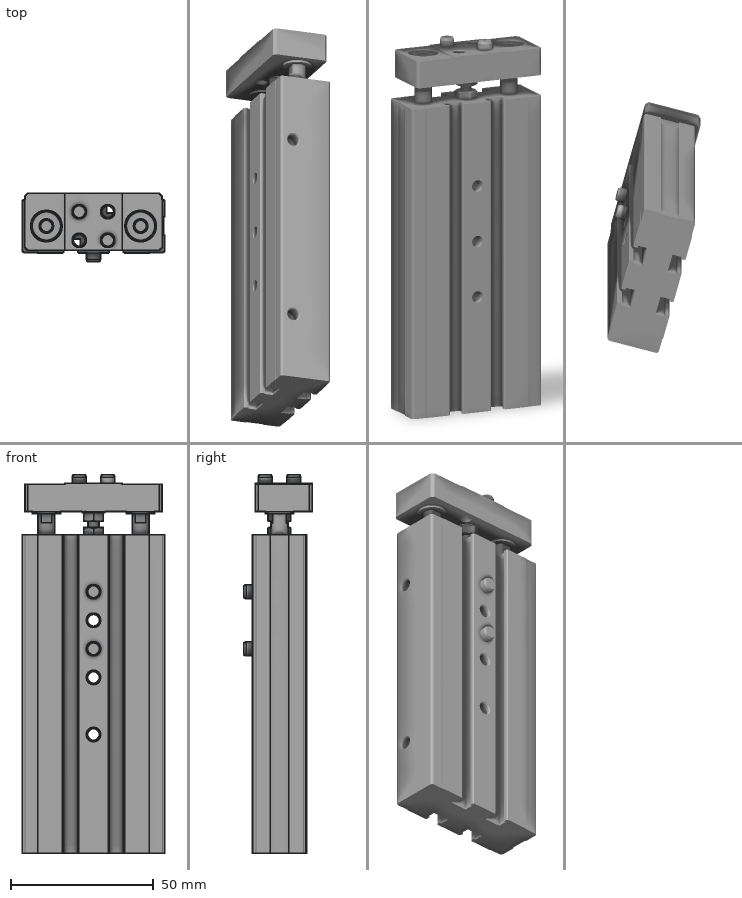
import cadquery as cq
import math


housing_width = 50.0
housing_depth = 19.0
housing_height = 111.6
plate_gap = 8.0
plate_width = 48.0
plate_depth = 20.0
plate_height = 10.0
plate_overhang = 2.0

housing_corner_radius = 1.0
relief_start = 19.5
relief_depth = 0.2
groove_width = 6.6
groove_depth = 0.4
slot_offset = 8.0
slot_mouth_width = 5.0
slot_inner_width = 6.6
slot_depth = 4.9
slot_lip = 1.6
slot_edge_chamfer = 0.4

tap_diameter = 4.13
tap_mouth_diameter = 5.0
tap_chamfer = (tap_mouth_diameter - tap_diameter) / 2
port_inset = 23.3
port_y = 4.6
port_depth = 5.0
drill_point_angle = 118.0
port_tip_length = tap_diameter / 2 / math.tan(math.radians(drill_point_angle / 2))
hole_levels_below_top = (30.0, 50.0, 70.0)
pin_levels_below_top = (20.0, 40.0)

pin_diameter = 5.0
pin_projection = 3.0
pin_seat_depth = 5.0
pin_tip_radial = 0.4
pin_tip_length = 0.85

plate_chamfer = 1.0
pad_width = 20.0
pad_rise = 0.3
plate_hole_pitch = 10.0

rod_offset = 16.5
rod_diameter = 6.03
rod_end_wall = 10.0
collar_diameter = 10.0
collar_projection = 0.7
collar_recess_diameter = 11.0
collar_recess = (collar_recess_diameter - collar_diameter) / 2
rod_end_recess = 0.2
wrench_flat_width = 4.8
wrench_flat_length = 3.2

hex_across_flats = 7.0
hex_chamfer_height = 0.3
washer_face_diameter = 8.0
washer_face_height = 0.3
upper_hex_height = 3.1
lower_hex_height = 2.5
stem_diameter = 4.0

front_y = -housing_depth / 2
rear_y = housing_depth / 2
plate_bottom = housing_height + plate_gap
plate_top = plate_bottom + plate_height
plate_side_top = plate_top - pad_rise
plate_y = rear_y + plate_overhang - plate_depth / 2
collar_top = plate_side_top - collar_recess
collar_bottom = plate_bottom - collar_projection
rod_positions = [(-rod_offset, 0), (rod_offset, 0)]
half_pitch = plate_hole_pitch / 2
plate_hole_positions = [(-half_pitch, -half_pitch), (half_pitch, half_pitch)]
plate_pin_positions = [(-half_pitch, half_pitch), (half_pitch, -half_pitch)]
hole_levels = [housing_height - level for level in hole_levels_below_top]
pin_levels = [housing_height - level for level in pin_levels_below_top]


def box(x_min, x_max, y_min, y_max, z_min, z_max):
    size = (x_max - x_min, y_max - y_min, z_max - z_min)
    return cq.Workplane("XY").box(*size, centered=False).translate((x_min, y_min, z_min))


def cylinder(start, direction, diameter, length):
    return cq.Solid.makeCylinder(diameter / 2, length, cq.Vector(*start), cq.Vector(*direction))


def cone(start, direction, start_diameter, end_diameter, length):
    return cq.Solid.makeCone(
        start_diameter / 2, end_diameter / 2, length, cq.Vector(*start), cq.Vector(*direction)
    )


def tap_mouth(start, inward):
    """Countersink at the mouth of a threaded hole."""
    return cone(start, inward, tap_mouth_diameter, tap_diameter, tap_chamfer)


def slot_cutter(x, side):
    """T-slot along Z, open to the front (side = -1) or the rear (side = +1)."""
    half_mouth = slot_mouth_width / 2
    half_edge = half_mouth + slot_edge_chamfer
    half_inner = slot_inner_width / 2
    half_outline = [
        (half_edge, 0),
        (half_mouth, slot_edge_chamfer),
        (half_mouth, slot_lip),
        (half_inner, slot_lip),
        (half_inner, slot_depth),
    ]
    outline = half_outline + [(-u, v) for u, v in reversed(half_outline)]
    points = [(x + u, side * (rear_y - v)) for u, v in outline]
    return cq.Workplane("XY").polyline(points).close().extrude(housing_height)


def make_housing():
    half_width = housing_width / 2
    body = box(-half_width, half_width, front_y, rear_y, 0, housing_height)
    for side in (-1, 1):
        face_y = side * rear_y
        relief_y = face_y - side * relief_depth
        y_limits = sorted((face_y, relief_y))
        for x_limits in ((-half_width, -relief_start), (relief_start, half_width)):
            body = body.cut(box(*x_limits, *y_limits, 0, housing_height))
    for side_face in ("<X", ">X"):
        body = body.faces(side_face).edges("|Z").fillet(housing_corner_radius)
    for side in (-1, 1):
        for slot_x in (-slot_offset, slot_offset):
            body = body.cut(slot_cutter(slot_x, side))
    body = body.cut(
        box(half_width - groove_depth, half_width, -groove_width / 2, groove_width / 2, 0, housing_height)
    )
    for level in hole_levels:
        body = body.cut(cylinder((0, front_y, level), (0, 1, 0), tap_diameter, housing_depth))
        body = body.cut(tap_mouth((0, front_y, level), (0, 1, 0)))
    for level in pin_levels:
        body = body.cut(cylinder((0, front_y, level), (0, 1, 0), pin_diameter, pin_seat_depth))
    for level in (port_inset, housing_height - port_inset):
        body = body.cut(cylinder((-half_width, port_y, level), (1, 0, 0), tap_diameter, port_depth))
        body = body.cut(tap_mouth((-half_width, port_y, level), (1, 0, 0)))
        port_floor = (-half_width + port_depth, port_y, level)
        body = body.cut(cone(port_floor, (1, 0, 0), tap_diameter, 0, port_tip_length))
    for x, y in rod_positions:
        bore_depth = housing_height - rod_end_wall
        body = body.cut(cylinder((x, y, rod_end_wall), (0, 0, 1), rod_diameter, bore_depth))
    return body


def make_hex(bottom, height, chamfered_end):
    """Hexagon with corners on +Y and -Y; its corners are bevelled at the "top" or "bottom" end."""
    across_corners = hex_across_flats / math.cos(math.pi / 6)
    prism = cq.Workplane("XY").polygon(6, across_corners).extrude(height)
    prism = prism.rotate((0, 0, 0), (0, 0, 1), 30)
    bevel_width = (across_corners - hex_across_flats) / 2
    envelope = cq.Workplane("XY").circle(across_corners / 2).extrude(height)
    edge = ">Z" if chamfered_end == "top" else "<Z"
    envelope = envelope.faces(edge).chamfer(hex_chamfer_height, bevel_width)
    return prism.intersect(envelope).translate((0, 0, bottom))


def make_stop_bolt():
    """Bolt hanging from the plate, with its lower hexagon resting on the housing."""
    upper_hex_top = plate_bottom - washer_face_height
    washer_face = cylinder((0, 0, upper_hex_top), (0, 0, 1), washer_face_diameter, washer_face_height)
    stem = cylinder((0, 0, housing_height), (0, 0, 1), stem_diameter, plate_gap)
    upper_hex = make_hex(upper_hex_top - upper_hex_height, upper_hex_height, "bottom")
    lower_hex = make_hex(housing_height, lower_hex_height, "top")
    return upper_hex.union(lower_hex).union(cq.Workplane(stem)).union(cq.Workplane(washer_face))


def make_plate():
    half_width = plate_width / 2
    plate_front = plate_y - plate_depth / 2
    plate_rear = plate_y + plate_depth / 2
    body = box(-half_width, half_width, plate_front, plate_rear, plate_bottom, plate_side_top)
    body = body.edges("|Z").chamfer(plate_chamfer)
    pad = box(-pad_width / 2, pad_width / 2, plate_front, plate_rear, plate_side_top, plate_top)
    body = body.union(pad)
    for x, y in plate_hole_positions:
        body = body.cut(cylinder((x, y, plate_bottom), (0, 0, 1), tap_diameter, plate_height))
        body = body.cut(tap_mouth((x, y, plate_top), (0, 0, -1)))
    for x, y in plate_pin_positions:
        body = body.cut(cylinder((x, y, plate_top), (0, 0, -1), pin_diameter, pin_seat_depth))
    for x, y in rod_positions:
        body = body.cut(cylinder((x, y, plate_bottom), (0, 0, 1), collar_diameter, plate_height))
        countersink = cone(
            (x, y, plate_side_top), (0, 0, -1), collar_recess_diameter, collar_diameter, collar_recess
        )
        body = body.cut(countersink)
    return body.union(make_stop_bolt())


def make_rod(x, y):
    """Rod with two wrench flats and a collar that fills the plate bore."""
    shank_length = collar_bottom - rod_end_wall
    rod = cq.Workplane(cylinder((x, y, rod_end_wall), (0, 0, 1), rod_diameter, shank_length))
    half_flat = wrench_flat_width / 2
    radius = rod_diameter / 2
    flat_bottom = collar_bottom - wrench_flat_length
    for y_limits in ((y - radius, y - half_flat), (y + half_flat, y + radius)):
        rod = rod.cut(box(x - radius, x + radius, *y_limits, flat_bottom, collar_bottom))
    collar = cylinder((x, y, collar_bottom), (0, 0, 1), collar_diameter, collar_top - collar_bottom)
    rod = rod.union(cq.Workplane(collar))
    dish = cone((x, y, collar_top), (0, 0, -1), tap_mouth_diameter, tap_diameter, rod_end_recess)
    return rod.cut(dish)


def make_pin(seat, outward):
    """Pin seated below the point `seat`, with a bevelled tip along `outward`."""
    axis = cq.Vector(*outward)
    start = cq.Vector(*seat) - axis * pin_seat_depth
    straight_length = pin_seat_depth + pin_projection - pin_tip_length
    shank = cylinder(start.toTuple(), outward, pin_diameter, straight_length)
    tip_start = start + axis * straight_length
    tip_diameter = pin_diameter - 2 * pin_tip_radial
    tip = cone(tip_start.toTuple(), outward, pin_diameter, tip_diameter, pin_tip_length)
    return cq.Workplane(shank).union(cq.Workplane(tip))


housing = make_housing()
plate = make_plate()
rods = [make_rod(x, y) for x, y in rod_positions]
housing_pins = [make_pin((0, front_y, level), (0, -1, 0)) for level in pin_levels]
plate_pins = [make_pin((x, y, plate_top), (0, 0, 1)) for x, y in plate_pin_positions]

bodies = [housing, plate, *rods, *housing_pins, *plate_pins]
result = cq.Compound.makeCompound([body.val() for body in bodies])